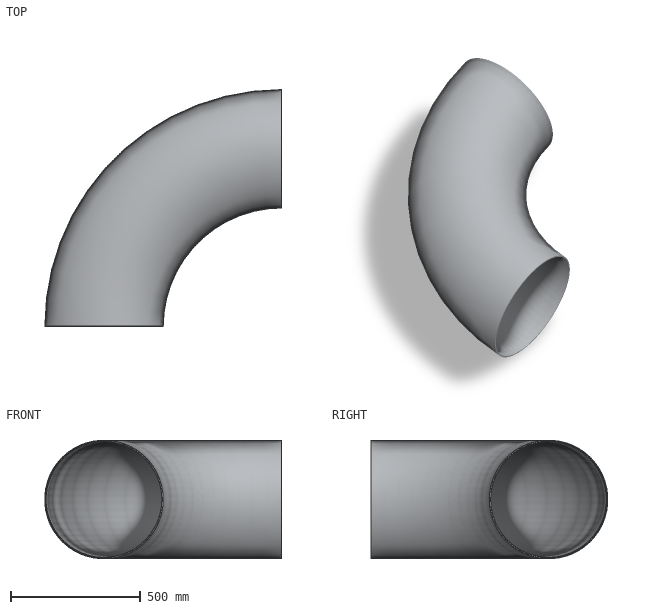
import cadquery as cq

pipe_diameter = 457.0
wall_thickness = 5.0
bend_radius = 686.0
bend_angle = 90.0

outer_radius = pipe_diameter / 2
inner_radius = outer_radius - wall_thickness

pipe_ring = (
    cq.Workplane("XZ")
    .center(-bend_radius, 0)
    .circle(outer_radius)
    .circle(inner_radius)
)

axis_start = (bend_radius, 0)
axis_end = (bend_radius, -1)
result = pipe_ring.revolve(bend_angle, axis_start, axis_end)